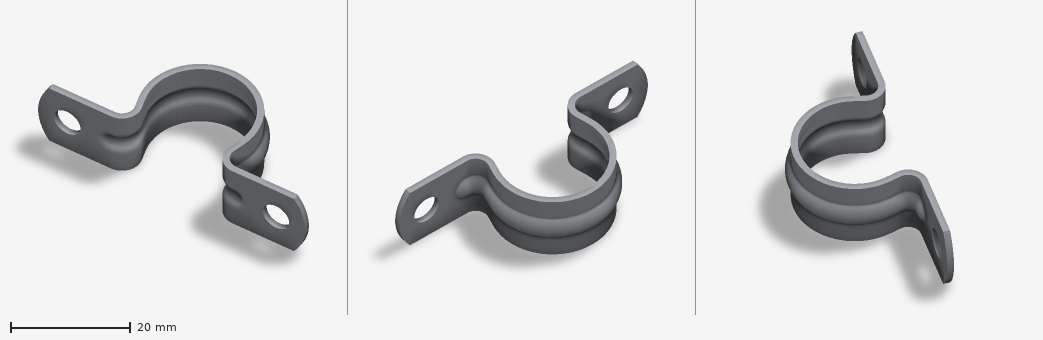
import cadquery as cq
import math

length = 52.8
depth = 20.8
width = 12.7
thickness = 1.2

loop_inner_radius = 9.55
bend_outer_radius = 3.5
bend_center_x = 12.0
foot_corner_x = 24.2

hole_diameter = 5.2
hole_x = 20.65

bead_height = 0.95
bead_half_width = 2.45
bead_root_radius = 0.35
bead_end_x = 12.3

loop_outer_radius = loop_inner_radius + thickness
loop_center_y = depth - loop_outer_radius - bead_height
bend_center_y = bend_outer_radius
bend_inner_radius = bend_outer_radius - thickness

bead_angle = 2 * math.atan(bead_height / bead_half_width)
crown_radius = bead_half_width / math.sin(bead_angle) - bead_root_radius

center_distance = math.hypot(bend_center_x, loop_center_y - bend_center_y)
center_angle = math.atan2(loop_center_y - bend_center_y, bend_center_x)
tangent_angle = center_angle - math.acos((loop_outer_radius + bend_inner_radius) / center_distance)


def polar(center, radius, angle):
    return (center[0] + radius * math.cos(angle), center[1] + radius * math.sin(angle))


def bead_points(height):
    """Points from the bead root to its crest as (across, outward) pairs.

    height is 0 for the inside face of the sheet and thickness for the outside face.
    """
    root_center = (bead_half_width, thickness + bead_root_radius)
    crown_center = (0, thickness + bead_height - crown_radius)
    root_radius = root_center[1] - height
    crest_radius = crown_radius - thickness + height
    root_down = -math.pi / 2
    crown_up = math.pi / 2
    return [
        (bead_half_width, height),
        polar(root_center, root_radius, root_down - bead_angle / 2),
        polar(root_center, root_radius, root_down - bead_angle),
        polar(crown_center, crest_radius, crown_up - bead_angle / 2),
        (0, crown_center[1] + crest_radius),
    ]


def mirrored(point):
    return (-point[0], point[1])


def trace_bead(outline, points):
    """Continue an outline from the first bead point along the two arcs of one bead side."""
    return outline.threePointArc(points[1], points[2]).threePointArc(points[3], points[4])


def trace_whole_bead(outline, height, side):
    """Cross the bead from the +1 or -1 side of the strap to the other side."""
    near = bead_points(height)
    far = bead_points(height)
    if side > 0:
        far = [mirrored(p) for p in far]
    else:
        near = [mirrored(p) for p in near]
    outline = trace_bead(outline.lineTo(*near[0]), near)
    return outline.threePointArc(far[3], far[2]).threePointArc(far[1], far[0])


def strap_path():
    """Line of the inside face, from the left end of the bead round to the right end."""
    bend_center = (-bend_center_x, bend_center_y)
    loop_center = (0, loop_center_y)
    bend_mid_angle = (tangent_angle - math.pi / 2) / 2
    bend_start = (-bend_center_x, 0)
    bend_middle = polar(bend_center, bend_outer_radius, bend_mid_angle)
    bend_end = polar(bend_center, bend_outer_radius, tangent_angle)
    loop_start = polar(loop_center, loop_inner_radius, math.pi + tangent_angle)
    loop_top = (0, loop_center_y + loop_inner_radius)
    return (
        cq.Workplane("XY")
        .moveTo(-bead_end_x, 0)
        .lineTo(*bend_start)
        .threePointArc(bend_middle, bend_end)
        .lineTo(*loop_start)
        .threePointArc(loop_top, mirrored(loop_start))
        .lineTo(*mirrored(bend_end))
        .threePointArc(mirrored(bend_middle), mirrored(bend_start))
        .lineTo(bead_end_x, 0)
    )


def beaded_strap():
    """Beaded sheet section swept along both bends and the loop."""
    section_plane = cq.Plane(origin=(-bead_end_x, 0, 0), xDir=(0, 0, 1), normal=(-1, 0, 0))
    outline = cq.Workplane(section_plane).moveTo(width / 2, 0)
    outline = trace_whole_bead(outline, 0, 1)
    outline = outline.lineTo(-width / 2, 0).lineTo(-width / 2, thickness)
    outline = trace_whole_bead(outline, thickness, -1)
    outline = outline.lineTo(width / 2, thickness).close()
    return outline.sweep(strap_path())


def foot():
    """Flat left foot with a bowed end, a hole and a recess for the end of the bead."""
    plate = (
        cq.Workplane("XZ")
        .moveTo(-bead_end_x, -width / 2)
        .lineTo(-foot_corner_x, -width / 2)
        .threePointArc((-length / 2, 0), (-foot_corner_x, width / 2))
        .lineTo(-bead_end_x, width / 2)
        .close()
        .extrude(-thickness)
    )
    hole = cq.Workplane("XZ").center(-hole_x, 0).circle(hole_diameter / 2).extrude(-thickness)
    recess = cq.Workplane("XZ").center(-bead_end_x, 0).circle(bead_half_width).extrude(-thickness)
    return plate.cut(hole).cut(recess)


def bead_end():
    """Half-round end of the bead: the bead section turned about the axis through its crest."""
    inside = bead_points(0)
    outside = bead_points(thickness)
    plane = cq.Plane(origin=(-bead_end_x, 0, 0), xDir=(0, 0, 1), normal=(-1, 0, 0))
    outline = trace_bead(cq.Workplane(plane).moveTo(*inside[0]), inside)
    outline = outline.lineTo(*outside[4])
    outline = outline.threePointArc(outside[3], outside[2]).threePointArc(outside[1], outside[0])
    return outline.close().revolve(180, (0, 0), (0, -1))


left_foot = foot().union(bead_end())
right_foot = left_foot.mirror("YZ")
result = beaded_strap().union(left_foot).union(right_foot)